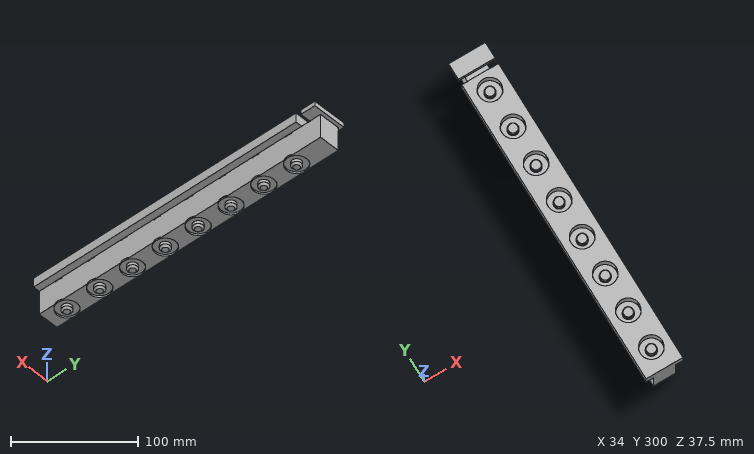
import cadquery as cq

total_length = 300.0
flange_width = 34.0
flange_length = 280.0
flange_height = 10.0
web_width = 20.7
web_height = 24.5
body_height = web_height + flange_height

stud_count = 8
pitch = flange_length / stud_count
first_stud_offset = 20.0

top_recess_diameter = 20.0
recess_skin = 0.03
bottom_recess_diameter = web_width - 2 * recess_skin
top_recess_depth = 10.0
top_recess_floor = body_height - top_recess_depth
bottom_recess_depth = 1.8
shank_diameter = 9.5
shank_chamfer = 1.8
shank_rise = 1.5
pin_diameter = 8.5
pin_rise = 5.5
stud_drop = 3.0

head_length = 15.0
head_thickness = 5.0
post_diameter = 6.0

front_y = -total_length / 2
back_y = total_length / 2
stud_points = [(0, front_y + first_stud_offset + i * pitch) for i in range(stud_count)]


def block(width, length, height, start_y, base_z):
    """Box centred on X that starts at start_y and stands on base_z."""
    return (
        cq.Workplane("XY", origin=(0, start_y, base_z))
        .box(width, length, height, centered=(True, False, False))
    )


def round_columns(points, diameter, height, base_z):
    """Upright cylinders standing on base_z at every point."""
    return (
        cq.Workplane("XY", origin=(0, 0, base_z))
        .pushPoints(points)
        .circle(diameter / 2)
        .extrude(height)
    )


def t_rail():
    web = block(web_width, total_length, web_height, front_y, 0)
    flange = block(flange_width, flange_length, flange_height, front_y, web_height)
    return web.union(flange)


def latch():
    head_base = body_height - head_thickness
    head_start = back_y - head_length
    head = block(flange_width, head_length, head_thickness, head_start, head_base)
    post_point = (0, head_start + head_length / 2)
    post = round_columns([post_point], post_diameter, head_base - web_height, web_height)
    return head.union(post)


def recesses():
    top = round_columns(stud_points, top_recess_diameter, top_recess_depth, top_recess_floor)
    bottom = round_columns(stud_points, bottom_recess_diameter, bottom_recess_depth, 0)
    return top.union(bottom)


def studs():
    shank_height = stud_drop + top_recess_floor + shank_rise
    shanks = round_columns(stud_points, shank_diameter, shank_height, -stud_drop)
    shanks = shanks.faces("<Z").edges().chamfer(shank_chamfer)
    pins = round_columns(stud_points, pin_diameter, pin_rise, top_recess_floor)
    return shanks.union(pins)


result = t_rail().union(latch()).cut(recesses()).union(studs())